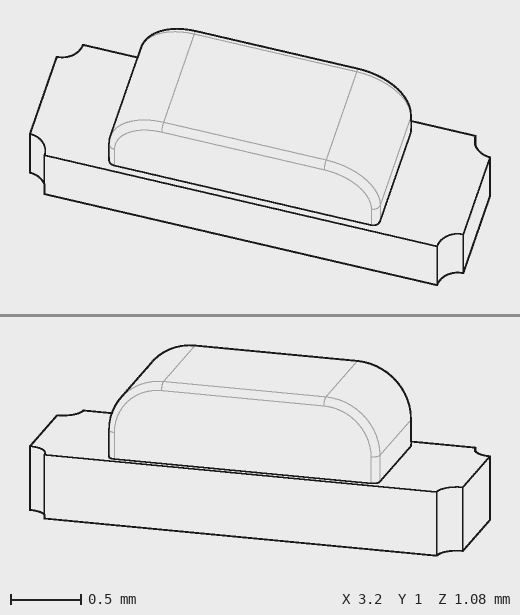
import cadquery as cq

base_length = 3.2
base_width = 1.0
base_height = 0.48
notch_radius = 0.15

lens_length = 2.0
lens_width = 0.9
lens_height = 0.6
lens_end_radius = 0.4
lens_edge_radius = 0.05


def make_base():
    block = cq.Workplane("XY").box(
        base_length, base_width, base_height, centered=(True, True, False)
    )
    notches = (
        cq.Workplane("XY")
        .rect(base_length, base_width, forConstruction=True)
        .vertices()
        .circle(notch_radius)
        .extrude(base_height)
    )
    return block.cut(notches)


def make_lens():
    block = (
        cq.Workplane("XY")
        .workplane(offset=base_height)
        .box(lens_length, lens_width, lens_height, centered=(True, True, False))
    )
    rounded = block.edges("|Y and >Z").fillet(lens_end_radius)
    return rounded.edges("(<Y or >Y) and (not <Z)").fillet(lens_edge_radius)


base = make_base()
lens = make_lens()

result = cq.Compound.makeCompound([base.val(), lens.val()])